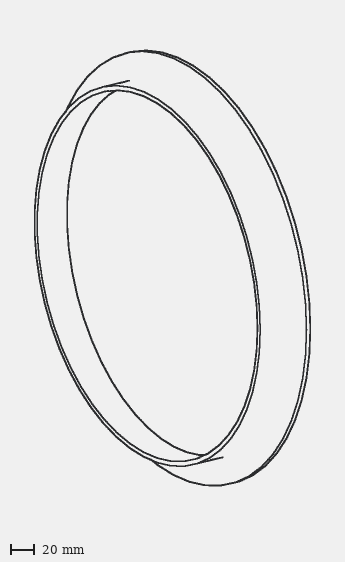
import cadquery as cq

flange_radius = 185.0
tube_radius = 162.0
wall = 4.0
total_length = 35.0
fillet_radius = 5.0

bend_radius = fillet_radius + wall
bore_radius = tube_radius - wall
back_face = total_length / 2
front_end = -total_length / 2
flange_face = back_face - wall


def collar_section():
    """Half section in the XY plane, with X as the radius and Y as the axis."""
    return (
        cq.Workplane("XY")
        .moveTo(bore_radius, front_end)
        .lineTo(tube_radius, front_end)
        .lineTo(tube_radius, flange_face - fillet_radius)
        .radiusArc((tube_radius + fillet_radius, flange_face), fillet_radius)
        .lineTo(flange_radius, flange_face)
        .lineTo(flange_radius, back_face)
        .lineTo(bore_radius + bend_radius, back_face)
        .radiusArc((bore_radius, back_face - bend_radius), -bend_radius)
        .close()
    )


result = collar_section().revolve(360, (0, 0, 0), (0, 1, 0))